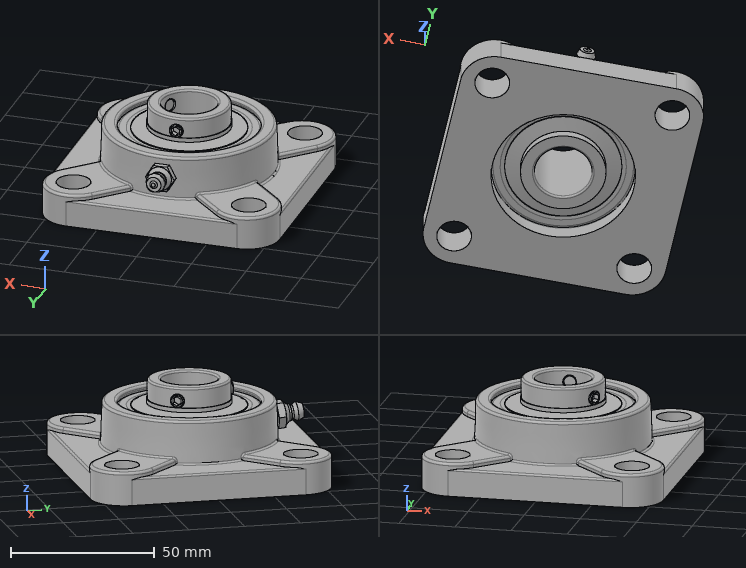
import cadquery as cq
import math

HEX_TURN = 30

FLANGE_SIDE = 86.0
FLANGE_THICKNESS = 10.0
CORNER_RADIUS = 11.9
PAD_HEIGHT = 12.0
PAD_ANGLES = (45, 135, 225, 315)
PAD_FILLET = 0.95
FLANGE_FILLET = 0.7
BOSS_FILLET = 0.95
ROOT_FILLET = 0.7
OPENING_FILLET = 0.95
BOLT_SPACING = 64.0
BOLT_HOLE_DIAMETER = 12.0
BOSS_TOP = 25.5
BOSS_TOP_RADIUS = 30.45
BOSS_FOOT_RADIUS = 31.0
FOOT_BAND = 0.2
OPENING_DIAMETER = 50.1

BEARING_CENTRE_Z = 15.0
SEAT_DIAMETER = 53.3
OUTER_RING_WIDTH = 17.2
OUTER_RING_FILLET = 1.1
OUTER_RING_BORE = 40.0
RECESS_MOUTH_DIAMETER = 43.9
RECESS_DROP = 0.2
SEAL_DIAMETER = 40.8
SEAL_DEPTH = 1.3
SEAL_LIP = 0.35
SEAL_CONE_RISE = 0.8
INNER_RING_TOP = 33.3
INNER_RING_LENGTH = 31.0
INNER_RING_DIAMETER = 29.75
COLLAR_DIAMETER = 29.2
COLLAR_BOTTOM = 26.1
COLLAR_FILLET = 0.7
SHAFT_DIAMETER = 20.0
SHAFT_FILLET = 0.7

SCREW_DIAMETER = 4.9
SCREW_LENGTH = 5.2
SCREW_OUTER_END = 15.4
SCREW_CHAMFER = 0.35
SCREW_Z = 28.55
SCREW_ANGLES = (90, -30)
SOCKET_ACROSS_FLATS = 2.9
SOCKET_DEPTH = 2.15

NIPPLE_TILT = 5.5
NIPPLE_ROOT_Y = 31.05
NIPPLE_ROOT_Z = 18.15
SHANK_DIAMETER = 6.0
SHANK_LENGTH = 3.6
HEX_ACROSS_FLATS = 9.0
HEX_CORNER_CUT_START = 2.4
HEX_CORNER_RADIUS = 5.3
HEX_FACE = 2.75
CONE_START = 4.3
CONE_END_RADIUS = 4.3
COLLAR_LENGTH = 0.7
NECK_RADIUS = 2.5
NECK_START = 5.25
NECK_END = 5.9
HEAD_RADIUS = 3.4
HEAD_WIDEST = 7.3
HEAD_FACE_RADIUS = 2.7
HEAD_FACE = 9.55
TIP_BASE_RADIUS = 1.4
TIP_DIAMETER = 1.5
TIP_END = 10.0


def bearing_sphere():
    """Ball that hollows out the spherical seat of the housing."""
    return cq.Workplane("XY").sphere(SEAT_DIAMETER / 2).translate((0, 0, BEARING_CENTRE_Z))


def disc(diameter, bottom, top):
    """Cylinder on the Z axis between two heights."""
    return cq.Workplane("XY").workplane(offset=bottom).circle(diameter / 2).extrude(top - bottom)


def mounting_pad(angle):
    """Raised rib running from the boss to one rounded corner."""
    reach = math.sqrt(2) * (FLANGE_SIDE / 2 - CORNER_RADIUS)
    return (
        cq.Workplane("XY")
        .moveTo(0, -CORNER_RADIUS)
        .lineTo(reach, -CORNER_RADIUS)
        .threePointArc((reach + CORNER_RADIUS, 0), (reach, CORNER_RADIUS))
        .lineTo(0, CORNER_RADIUS)
        .close()
        .extrude(PAD_HEIGHT)
        .faces(">Z").edges("not <X").fillet(PAD_FILLET)
        .rotate((0, 0, 0), (0, 0, 1), angle)
    )


def boss():
    """Slightly tapered round boss, still solid, with a rounded top edge."""
    return (
        cq.Workplane("XZ")
        .polyline([(0, 0), (BOSS_FOOT_RADIUS, 0), (BOSS_FOOT_RADIUS, FLANGE_THICKNESS),
                   (BOSS_TOP_RADIUS, BOSS_TOP), (0, BOSS_TOP)])
        .close()
        .revolve()
        .faces(">Z").edges().fillet(BOSS_FILLET)
    )


def follows_boss_foot(edge):
    """True for an edge where the boss wall meets the flange or a pad."""
    points = [edge.positionAt(fraction) for fraction in (0, 0.5, 1)]
    wall_radius = BOSS_FOOT_RADIUS - FOOT_BAND / 2
    return all(abs(math.hypot(point.x, point.y) - wall_radius) < FOOT_BAND for point in points)


def flange():
    """Square plate with rounded corners and a raised pad at each corner."""
    plate = (
        cq.Workplane("XY")
        .rect(FLANGE_SIDE, FLANGE_SIDE)
        .extrude(FLANGE_THICKNESS)
        .edges("|Z").fillet(CORNER_RADIUS)
        .faces(">Z").edges().fillet(FLANGE_FILLET)
    )
    for angle in PAD_ANGLES:
        plate = plate.union(mounting_pad(angle))
    return plate


def bolt_holes():
    return (
        cq.Workplane("XY")
        .rect(BOLT_SPACING, BOLT_SPACING, forConstruction=True)
        .vertices()
        .circle(BOLT_HOLE_DIAMETER / 2)
        .extrude(PAD_HEIGHT)
    )


def make_housing(nipple):
    body = flange().union(boss())
    foot_edges = [edge for edge in body.edges().vals() if follows_boss_foot(edge)]
    body = body.newObject(foot_edges).fillet(ROOT_FILLET)

    body = body.cut(disc(OPENING_DIAMETER, 0, BOSS_TOP)).cut(bearing_sphere())
    body = body.faces(">Z").edges(cq.selectors.RadiusNthSelector(0)).fillet(OPENING_FILLET)

    return body.cut(bolt_holes()).cut(nipple)


def make_outer_ring():
    """Ring with a spherical outside and a seal recess at each end, built about its mid-plane."""
    half = OUTER_RING_WIDTH / 2
    rim = math.sqrt((SEAT_DIAMETER / 2) ** 2 - half ** 2)
    recess_edge = half - RECESS_DROP
    floor = recess_edge - SEAL_DEPTH
    section = (
        cq.Workplane("XZ")
        .moveTo(OUTER_RING_BORE / 2, -floor)
        .lineTo(SEAL_DIAMETER / 2, -floor)
        .lineTo(SEAL_DIAMETER / 2, -recess_edge)
        .lineTo(RECESS_MOUTH_DIAMETER / 2, -half)
        .lineTo(rim, -half)
        .threePointArc((SEAT_DIAMETER / 2, 0), (rim, half))
        .lineTo(RECESS_MOUTH_DIAMETER / 2, half)
        .lineTo(SEAL_DIAMETER / 2, recess_edge)
        .lineTo(SEAL_DIAMETER / 2, floor)
        .lineTo(OUTER_RING_BORE / 2, floor)
        .close()
    )
    ring = section.revolve(360, (0, 0, 0), (0, 1, 0))
    ring = ring.faces("<Z or >Z").edges(cq.selectors.RadiusNthSelector(-1)).fillet(OUTER_RING_FILLET)
    return ring.translate((0, 0, BEARING_CENTRE_Z))


def make_seal():
    """Upper seal: its cone rises from a lip just proud of the outer ring towards the inner ring."""
    ring_edge = BEARING_CENTRE_Z + OUTER_RING_WIDTH / 2 - RECESS_DROP
    floor = ring_edge - SEAL_DEPTH
    lip_top = ring_edge + SEAL_LIP
    return (
        cq.Workplane("XZ")
        .moveTo(INNER_RING_DIAMETER / 2, floor)
        .lineTo(SEAL_DIAMETER / 2, floor)
        .lineTo(SEAL_DIAMETER / 2, lip_top)
        .lineTo(INNER_RING_DIAMETER / 2, lip_top + SEAL_CONE_RISE)
        .close()
        .revolve(360, (0, 0, 0), (0, 1, 0))
    )


def along_radius(shape, angle):
    """Carry a shape built up from the origin along +Z out to a set-screw position."""
    return (
        shape.rotate((0, 0, 0), (0, 1, 0), 90)
        .rotate((0, 0, 0), (0, 0, 1), angle)
        .translate((0, 0, SCREW_Z))
    )


def make_inner_ring():
    """Ring for the shaft with a slimmer collar on top that holds the set screws."""
    bottom = INNER_RING_TOP - INNER_RING_LENGTH
    ring = disc(INNER_RING_DIAMETER, bottom, COLLAR_BOTTOM).union(
        disc(COLLAR_DIAMETER, COLLAR_BOTTOM, INNER_RING_TOP).faces(">Z").edges().fillet(COLLAR_FILLET)
    )
    ring = ring.cut(disc(SHAFT_DIAMETER, bottom, INNER_RING_TOP))
    ring = ring.faces("<Z or >Z").edges(cq.selectors.RadiusNthSelector(0)).fillet(SHAFT_FILLET)
    for angle in SCREW_ANGLES:
        ring = ring.cut(along_radius(disc(SCREW_DIAMETER, 0, SCREW_OUTER_END), angle))
    return ring


def make_set_screw(angle):
    """Headless screw with a hexagon socket in its outer end."""
    screw = (
        disc(SCREW_DIAMETER, SCREW_OUTER_END - SCREW_LENGTH, SCREW_OUTER_END)
        .faces("<Z or >Z").edges().chamfer(SCREW_CHAMFER)
        .faces(">Z").workplane()
        .transformed(rotate=(0, 0, HEX_TURN))
        .polygon(6, SOCKET_ACROSS_FLATS, circumscribed=True)
        .cutBlind(-SOCKET_DEPTH)
    )
    return along_radius(screw, angle)


def make_nipple():
    """Turned head and neck on a hexagon with a shank, tilted upwards out of the +Y side."""
    shank_radius = SHANK_DIAMETER / 2
    turned = (
        cq.Workplane("XZ")
        .moveTo(0, 0)
        .lineTo(HEX_CORNER_RADIUS, 0)
        .lineTo(HEX_CORNER_RADIUS, HEX_CORNER_CUT_START)
        .lineTo(CONE_END_RADIUS, HEX_FACE)
        .lineTo(shank_radius, CONE_START)
        .lineTo(shank_radius, CONE_START + COLLAR_LENGTH)
        .lineTo(NECK_RADIUS, NECK_START)
        .lineTo(NECK_RADIUS, NECK_END)
        .lineTo(HEAD_RADIUS, HEAD_WIDEST)
        .lineTo(HEAD_FACE_RADIUS, HEAD_FACE)
        .lineTo(TIP_BASE_RADIUS, HEAD_FACE)
        .lineTo(TIP_DIAMETER / 2, TIP_END)
        .lineTo(0, TIP_END)
        .close()
        .revolve(360, (0, 0, 0), (0, 1, 0))
    )
    hexagon = (
        cq.Workplane("XY")
        .polygon(6, HEX_ACROSS_FLATS, circumscribed=True)
        .extrude(TIP_END)
        .rotate((0, 0, 0), (0, 0, 1), HEX_TURN)
    )
    nipple = turned.intersect(hexagon).union(disc(SHANK_DIAMETER, -SHANK_LENGTH, 0))
    return (
        nipple.rotate((0, 0, 0), (1, 0, 0), NIPPLE_TILT - 90)
        .translate((0, NIPPLE_ROOT_Y, NIPPLE_ROOT_Z))
    )


nipple = make_nipple()
housing = make_housing(nipple)
outer_ring = make_outer_ring()
inner_ring = make_inner_ring()
upper_seal = make_seal()
lower_seal = upper_seal.mirror("XY", (0, 0, BEARING_CENTRE_Z))
set_screws = [make_set_screw(angle) for angle in SCREW_ANGLES]

result = cq.Compound.makeCompound([
    housing.val(),
    outer_ring.val(),
    inner_ring.val(),
    upper_seal.val(),
    lower_seal.val(),
    *[screw.val() for screw in set_screws],
    nipple.val(),
])